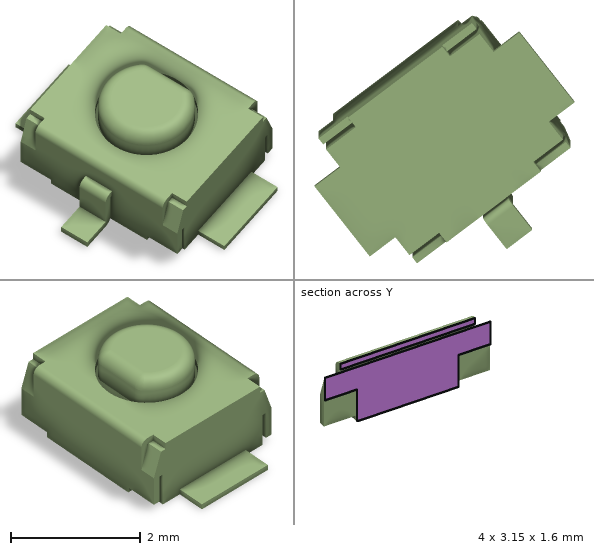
import cadquery as cq

body_length = 3.0
body_width = 2.5
body_top = 1.2
half_width = body_width / 2

sheet = 0.12
cover_bottom = 0.1
corner_cut_x = 0.28
corner_cut_y = 0.25
flap_wide_top = 0.6
button_hole_diameter = 1.6

base_top = body_top - sheet
base_top_inset = 0.15
slope_bottom = 0.63
flap_clearance = 0.07
tongue_length = 1.84

button_diameter = 1.5
button_top = 1.6
button_round = 0.2
button_flat_offset = 0.6

terminal_span = 4.0
terminal_width = 1.4
terminal_thickness = 0.1

lead_width = 0.5
lead_top = 0.745
lead_gap = 0.05
lead_reach = 0.65


def block(x_size, y_min, y_max, z_min, z_max, x_center=0):
    """Axis-aligned block centred along X on x_center."""
    return cq.Workplane("XY").box(
        x_size, y_max - y_min, z_max - z_min, centered=(True, False, False)
    ).translate((x_center, y_min, z_min))


def extrude_along_x(outline, length):
    """Extrude a closed YZ outline symmetrically along X."""
    return cq.Workplane("YZ").polyline(outline).close().extrude(length / 2, both=True)


def make_base():
    """Block with sloped upper sides and recesses behind the flaps, leaving a central tongue."""
    top_half_width = half_width - base_top_inset
    base = extrude_along_x(
        [
            (-half_width, 0),
            (half_width, 0),
            (half_width, slope_bottom),
            (top_half_width, base_top),
            (-top_half_width, base_top),
            (-half_width, slope_bottom),
        ],
        body_length,
    )
    recess_floor = half_width - sheet - flap_clearance
    recess_length = (body_length - tongue_length) / 2
    recess_center = (body_length + tongue_length) / 4
    for side in (-1, 1):
        recess = block(recess_length, recess_floor, half_width, 0, flap_wide_top, side * recess_center)
        base = base.cut(recess).cut(recess.mirror("XZ"))
    return base


def make_cover():
    """Channel folded over the base, notched at its four upper corners, with a button hole."""
    cover = block(body_length, -half_width, half_width, cover_bottom, body_top)
    cover = cover.edges("|X and >Z").fillet(sheet)
    inner_half_width = half_width - sheet
    cover = cover.cut(block(body_length, -inner_half_width, inner_half_width, cover_bottom, base_top))
    notch_center = (body_length - corner_cut_x) / 2
    for side in (-1, 1):
        notch = block(
            corner_cut_x, half_width - corner_cut_y, half_width, flap_wide_top, body_top, side * notch_center
        )
        cover = cover.cut(notch).cut(notch.mirror("XZ"))
    hole = cq.Workplane("XY").workplane(offset=base_top).circle(button_hole_diameter / 2).extrude(sheet)
    return cover.cut(hole)


def make_button():
    """Round button with one flat side, rounded corners beside the flat and a rounded rim, standing on the base."""
    radius = button_diameter / 2
    button = cq.Workplane("XY").workplane(offset=base_top).circle(radius).extrude(button_top - base_top)
    button = button.cut(block(button_diameter, button_flat_offset, radius, base_top, button_top))
    return button.edges("(|Z and >Y) or >Z").fillet(button_round)


def make_terminals():
    """Flat strip through the base whose two ends form the side terminals."""
    return block(terminal_span, -terminal_width / 2, terminal_width / 2, 0, terminal_thickness)


def make_lead():
    """Lead leaving the front flap, bent down and then outwards into a foot."""
    inner_y = -half_width - lead_gap
    outer_y = inner_y - sheet
    toe_y = -half_width - lead_reach
    lead = extrude_along_x(
        [
            (sheet - half_width, lead_top),
            (outer_y, lead_top),
            (outer_y, sheet),
            (toe_y, sheet),
            (toe_y, 0),
            (inner_y, 0),
            (inner_y, lead_top - sheet),
            (sheet - half_width, lead_top - sheet),
        ],
        lead_width,
    )
    upper_bend = cq.selectors.NearestToPointSelector((0, outer_y, lead_top))
    lower_bend = cq.selectors.NearestToPointSelector((0, inner_y, 0))
    return lead.edges(upper_bend).fillet(sheet).edges(lower_bend).fillet(sheet)


result = make_base()
for piece in (make_cover(), make_button(), make_terminals(), make_lead()):
    result = result.union(piece)